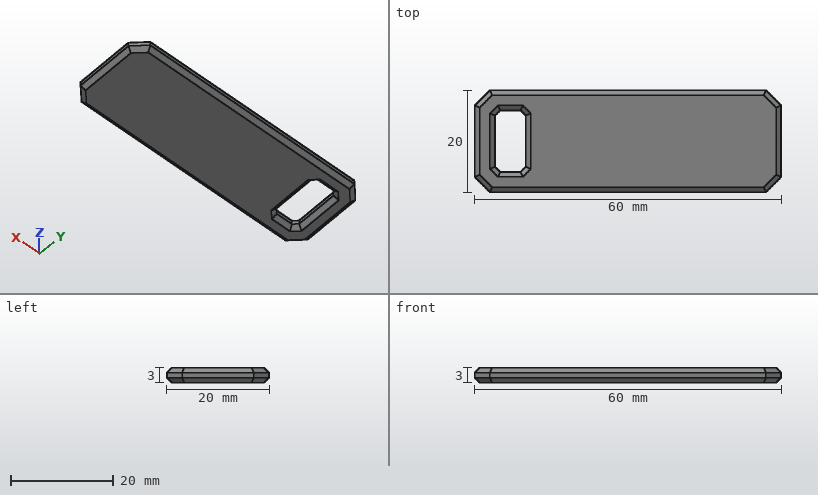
import cadquery as cq

LENGTH = 60.0
WIDTH = 20.0
THICKNESS = 3.0
CORNER_CUT = 3.0
EDGE_BEVEL = 1.0

WINDOW_LENGTH = 6.0
WINDOW_WIDTH = 12.0
WINDOW_CORNER_CUT = 1.0
END_MARGIN = 3.0
WINDOW_X = -LENGTH / 2 + END_MARGIN + EDGE_BEVEL + WINDOW_LENGTH / 2


def clipped_block(length, width, corner_cut, center_x=0.0):
    """Full-thickness rectangular block with its four upright corners cut at 45 degrees."""
    return (
        cq.Workplane("XY")
        .center(center_x, 0)
        .rect(length, width)
        .extrude(THICKNESS)
        .edges("|Z")
        .chamfer(corner_cut)
    )


def make_tag():
    """Octagonal plate with a window, every rim bevelled on both faces."""
    plate = clipped_block(LENGTH, WIDTH, CORNER_CUT)
    window = clipped_block(WINDOW_LENGTH, WINDOW_WIDTH, WINDOW_CORNER_CUT, WINDOW_X)
    return plate.cut(window).faces("<Z or >Z").edges().chamfer(EDGE_BEVEL)


result = make_tag()